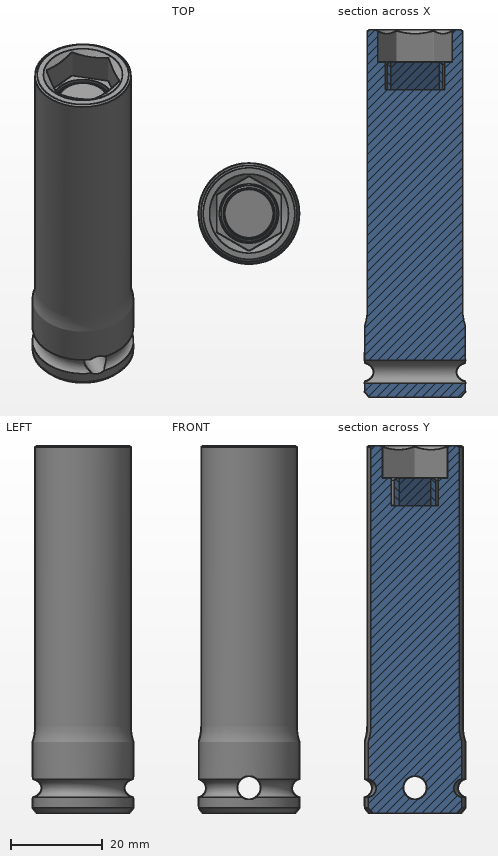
import cadquery as cq
import math

total_height = 80.0
drive_radius = 11.0
body_radius = 10.45

bottom_chamfer_width = 1.0
bottom_chamfer_height = 1.2
shoulder_bottom = 15.6
shoulder_top = 18.9
rim_chamfer_width = 0.5
rim_chamfer_height = 0.3

groove_height = 5.5
groove_profile_radius = 2.0
groove_profile_center = 11.4
cross_hole_height = 5.6
cross_hole_diameter = 5.0

hex_across_flats = 14.1
hex_corner_radius = 0.4
hex_depth = 7.0
mouth_radius = 8.6
mouth_angle = 30.0

pocket_radius = 6.45
pocket_depth = 6.0
sleeve_radius = 6.1
sleeve_chamfer = 0.5
magnet_radius = 5.25

hex_floor = total_height - hex_depth
pocket_floor = hex_floor - pocket_depth


def outer_body():
    """Solid of revolution; the shoulder is an arc tangent to the slim upper body."""
    shoulder_rise = shoulder_top - shoulder_bottom
    shoulder_step = drive_radius - body_radius
    arc_radius = (shoulder_rise**2 + shoulder_step**2) / (2 * shoulder_step)
    half_angle = math.asin(shoulder_rise / arc_radius) / 2
    shoulder_middle = (
        body_radius + arc_radius * (1 - math.cos(half_angle)),
        shoulder_top - arc_radius * math.sin(half_angle),
    )
    return (
        cq.Workplane("XZ")
        .moveTo(0, 0)
        .lineTo(drive_radius - bottom_chamfer_width, 0)
        .lineTo(drive_radius, bottom_chamfer_height)
        .lineTo(drive_radius, shoulder_bottom)
        .threePointArc(shoulder_middle, (body_radius, shoulder_top))
        .lineTo(body_radius, total_height - rim_chamfer_height)
        .lineTo(body_radius - rim_chamfer_width, total_height)
        .lineTo(0, total_height)
        .close()
        .revolve(360, (0, 0, 0), (0, 1, 0))
    )


def ring_groove():
    return cq.Workplane(cq.Solid.makeTorus(
        groove_profile_center, groove_profile_radius, cq.Vector(0, 0, groove_height)
    ))


def cross_hole():
    return (
        cq.Workplane("XZ")
        .center(0, cross_hole_height)
        .circle(cross_hole_diameter / 2)
        .extrude(drive_radius, both=True)
    )


def hex_opening():
    """Hexagon with two corners on the Y axis and slightly rounded corners."""
    across_corners = hex_across_flats / math.cos(math.pi / 6)
    return (
        cq.Workplane("XY", origin=(0, 0, hex_floor))
        .transformed(rotate=(0, 0, 90))
        .polygon(6, across_corners)
        .extrude(hex_depth)
        .edges("|Z")
        .fillet(hex_corner_radius)
    )


def mouth_cone():
    cone_depth = mouth_radius * math.tan(math.radians(mouth_angle))
    return (
        cq.Workplane("XZ")
        .moveTo(0, total_height - cone_depth)
        .lineTo(mouth_radius, total_height)
        .lineTo(0, total_height)
        .close()
        .revolve(360, (0, 0, 0), (0, 1, 0))
    )


def round_bar(radius, height):
    """Upright bar standing on the pocket floor."""
    return cq.Workplane("XY", origin=(0, 0, pocket_floor)).circle(radius).extrude(height)


def make_socket():
    return (
        outer_body()
        .cut(ring_groove())
        .cut(cross_hole())
        .cut(hex_opening())
        .cut(mouth_cone())
        .cut(round_bar(pocket_radius, pocket_depth))
    )


def make_magnet():
    return round_bar(magnet_radius, pocket_depth)


def make_sleeve():
    return (
        round_bar(sleeve_radius, pocket_depth)
        .faces(">Z")
        .chamfer(sleeve_chamfer)
        .cut(make_magnet())
    )


socket = make_socket()
sleeve = make_sleeve()
magnet = make_magnet()

result = cq.Compound.makeCompound([socket.val(), sleeve.val(), magnet.val()])